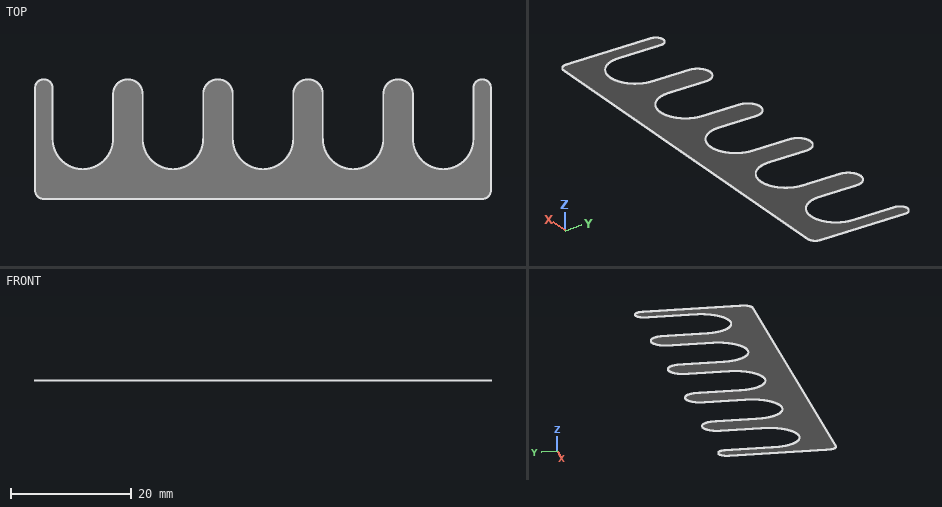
import cadquery as cq

length = 76.0
depth = 20.0
thickness = 0.1
corner_radius = 1.5

slot_count = 5
slot_width = 10.0
end_finger_width = 3.0
spine_width = 5.0

slot_radius = slot_width / 2
inner_finger_count = slot_count - 1
inner_finger_width = (length - 2 * end_finger_width - slot_count * slot_width) / inner_finger_count
slot_center_y = spine_width + slot_radius


def add_finger_tip(outline, left, width):
    """Go up the left side of a finger and over its fully rounded tip."""
    radius = width / 2
    shoulder_y = depth - radius
    return (
        outline.lineTo(left, shoulder_y)
        .threePointArc((left + radius, depth), (left + width, shoulder_y))
    )


def add_slot(outline, left):
    """Go down into a slot and around its semicircular bottom."""
    return (
        outline.lineTo(left, slot_center_y)
        .threePointArc((left + slot_radius, spine_width), (left + slot_width, slot_center_y))
    )


finger_widths = [end_finger_width] + [inner_finger_width] * inner_finger_count
x = -length / 2
outline = cq.Workplane("XY").moveTo(x, 0)
for finger_width in finger_widths:
    outline = add_finger_tip(outline, x, finger_width)
    x += finger_width
    outline = add_slot(outline, x)
    x += slot_width
outline = add_finger_tip(outline, x, end_finger_width)
comb = outline.lineTo(length / 2, 0).close().extrude(thickness)

spine_corners = cq.selectors.BoxSelector(
    (-length, -corner_radius, -thickness),
    (length, corner_radius, 2 * thickness),
)
result = comb.edges("|Z").edges(spine_corners).fillet(corner_radius)